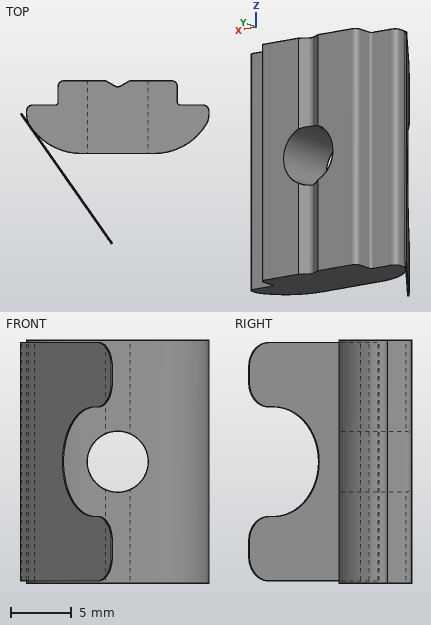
import cadquery as cq
import math

length = 20.0
body_width = 15.0
neck_width = 9.82
neck_height = 2.0
shoulder_depth = 4.0
bottom_width = 6.0
flank_radius = 5.0
side_blend_radius = 1.5
outer_corner_radius = 0.5
inner_corner_radius = 0.2
hole_diameter = 5.0

groove_width = 2.0
groove_slope = 30.0
groove_tip_radius = 0.5

leaf_length = 13.0
leaf_thickness = 0.12
leaf_angle = 55.0
leaf_end_gap = 0.2
leaf_sink = 0.02
leaf_reach = 1.42
leaf_corner_radius = 2.0
notch_width = 9.0
notch_depth = 7.0


def flank_points():
    """Points of the +X flank: arc start, mid and end, then blend mid and end."""
    center_x = bottom_width / 2
    center_y = flank_radius - shoulder_depth
    blend_x = body_width / 2 - side_blend_radius
    center_distance = flank_radius - side_blend_radius
    blend_angle = -math.acos((blend_x - center_x) / center_distance)
    blend_y = center_y + center_distance * math.sin(blend_angle)

    def on_arc(x, y, radius, angle):
        return (x + radius * math.cos(angle), y + radius * math.sin(angle))

    flank_mid_angle = (blend_angle - math.pi / 2) / 2
    return [
        on_arc(center_x, center_y, flank_radius, -math.pi / 2),
        on_arc(center_x, center_y, flank_radius, flank_mid_angle),
        on_arc(center_x, center_y, flank_radius, blend_angle),
        on_arc(blend_x, blend_y, side_blend_radius, blend_angle / 2),
        on_arc(blend_x, blend_y, side_blend_radius, 0),
    ]


def mirrored(point):
    """The same point on the -X side."""
    return (-point[0], point[1])


def fillet_at(body, points, radius):
    """Round the Z-direction edges that pass through the given XY points."""
    edges = [
        body.edges(cq.selectors.NearestToPointSelector((x, y, 0))).val()
        for x, y in points
    ]
    return body.newObject(edges).fillet(radius)


def make_body():
    bottom, flank_mid, flank_end, blend_mid, side = flank_points()
    groove_depth = groove_width / 2 * math.tan(math.radians(groove_slope))
    half_body = body_width / 2
    half_neck = neck_width / 2
    body = (
        cq.Workplane("XY")
        .moveTo(*mirrored(bottom))
        .lineTo(*bottom)
        .threePointArc(flank_mid, flank_end)
        .threePointArc(blend_mid, side)
        .lineTo(half_body, 0)
        .lineTo(half_neck, 0)
        .lineTo(half_neck, neck_height)
        .lineTo(groove_width / 2, neck_height)
        .lineTo(0, neck_height - groove_depth)
        .lineTo(-groove_width / 2, neck_height)
        .lineTo(-half_neck, neck_height)
        .lineTo(-half_neck, 0)
        .lineTo(-half_body, 0)
        .lineTo(*mirrored(side))
        .threePointArc(mirrored(blend_mid), mirrored(flank_end))
        .threePointArc(mirrored(flank_mid), mirrored(bottom))
        .close()
        .extrude(length / 2, both=True)
    )

    outer_corners = [
        (half_body, 0),
        (-half_body, 0),
        (half_neck, neck_height),
        (-half_neck, neck_height),
    ]
    body = fillet_at(body, outer_corners, outer_corner_radius)
    body = fillet_at(body, [(half_neck, 0), (-half_neck, 0)], inner_corner_radius)
    body = fillet_at(body, [(0, neck_height - groove_depth)], groove_tip_radius)
    return body


def make_hole():
    """Cylinder through the body along Y."""
    return (
        cq.Workplane("XZ")
        .circle(hole_diameter / 2)
        .extrude(shoulder_depth + neck_height, both=True)
    )


def make_leaf():
    """Plate with a round-bottomed notch, drawn flat and laid against the flank."""
    slope = math.radians(leaf_angle)
    along = cq.Vector(math.cos(slope), -math.sin(slope), 0)
    outward = cq.Vector(-math.sin(slope), -math.cos(slope), 0)
    flank_center = cq.Vector(-bottom_width / 2, flank_radius - shoulder_depth, 0)
    contact = flank_center + outward * (flank_radius - leaf_sink)
    plane = cq.Plane(origin=contact - along * leaf_reach, xDir=along, normal=outward)

    leaf_width = length - 2 * leaf_end_gap
    notch_radius = notch_width / 2
    notch_center = leaf_length - notch_depth + notch_radius
    blank = (
        cq.Workplane(plane)
        .rect(leaf_length, leaf_width, centered=(False, True))
        .extrude(leaf_thickness)
    )
    notch = (
        cq.Workplane(plane)
        .moveTo(leaf_length, notch_radius)
        .lineTo(notch_center, notch_radius)
        .threePointArc((notch_center - notch_radius, 0), (notch_center, -notch_radius))
        .lineTo(leaf_length, -notch_radius)
        .close()
        .extrude(leaf_thickness)
    )
    leaf = blank.cut(notch)
    across_thickness = cq.selectors.ParallelDirSelector(outward)
    farthest_along = cq.selectors.DirectionMinMaxSelector(along, True)
    tip_corners = leaf.edges(across_thickness).edges(farthest_along)
    return tip_corners.fillet(leaf_corner_radius)


result = make_body().cut(make_hole()).union(make_leaf())